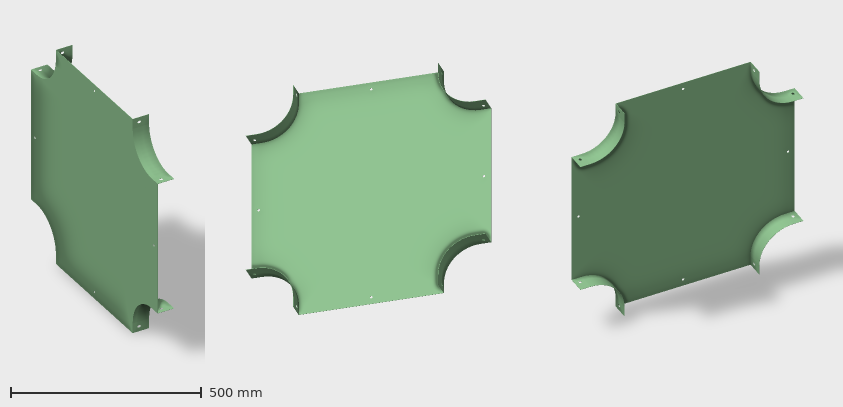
import cadquery as cq

SIZE = 660.0
DEPTH = 50.0
THICKNESS = 0.8
ARM_WIDTH = 400.0
TAB_LENGTH = 30.0
HOLE_DIAMETER = 7.0
SLOT_WIDTH = 7.0
SLOT_LENGTH = 10.0
PLATE_HOLE_EDGE = 20.0
TAB_SLOT_EDGE = TAB_LENGTH / 2
TAB_SLOT_Y = 20.0

HALF_SIZE = SIZE / 2
HALF_ARM = ARM_WIDTH / 2
ARC_CENTRE = HALF_SIZE - TAB_LENGTH
ARC_RADIUS = ARC_CENTRE - HALF_ARM
CORNER_ANGLES = (0, 90, 180, 270)


def xz_plane():
    """Workplane with local axes X and Z; negative extrusion runs toward +Y."""
    return cq.Workplane("XZ")


def turn(shape, angle):
    """Rotate a shape about the plate's central Y axis."""
    return shape.rotate((0, 0, 0), (0, 1, 0), angle)


def corner_cutout(offset, depth):
    """Prism outside the +X+Z notch edge, with that edge moved inward by offset."""
    inner = HALF_ARM - offset
    radius = ARC_RADIUS + offset
    arc_mid = ARC_CENTRE - radius * 0.5 ** 0.5
    return (
        xz_plane()
        .moveTo(inner, HALF_SIZE)
        .lineTo(inner, ARC_CENTRE)
        .threePointArc((arc_mid, arc_mid), (ARC_CENTRE, inner))
        .lineTo(HALF_SIZE, inner)
        .lineTo(HALF_SIZE, HALF_SIZE)
        .close()
        .extrude(-depth)
    )


def plate():
    """Cross-shaped plate with one hole near the end of each arm."""
    body = xz_plane().rect(SIZE, SIZE).extrude(-THICKNESS)
    notch = corner_cutout(0, THICKNESS)
    hole = (
        xz_plane()
        .center(0, HALF_SIZE - PLATE_HOLE_EDGE)
        .circle(HOLE_DIAMETER / 2)
        .extrude(-THICKNESS)
    )
    for angle in CORNER_ANGLES:
        body = body.cut(turn(notch, angle)).cut(turn(hole, angle))
    return body


def corner_flange():
    """Flange along the +X+Z notch, with a slot through each straight tab."""
    flange = corner_cutout(THICKNESS, DEPTH).cut(corner_cutout(0, DEPTH))
    slot_position = HALF_SIZE - TAB_SLOT_EDGE
    upright_tab_slot = (
        cq.Workplane("YZ", origin=(HALF_ARM - THICKNESS, TAB_SLOT_Y, slot_position))
        .slot2D(SLOT_LENGTH, SLOT_WIDTH)
        .extrude(THICKNESS)
    )
    level_tab_slot = (
        cq.Workplane("XY", origin=(slot_position, TAB_SLOT_Y, HALF_ARM - THICKNESS))
        .slot2D(SLOT_LENGTH, SLOT_WIDTH, 90)
        .extrude(THICKNESS)
    )
    return flange.cut(upright_tab_slot).cut(level_tab_slot)


result = plate()
for corner_angle in CORNER_ANGLES:
    result = result.union(turn(corner_flange(), corner_angle))